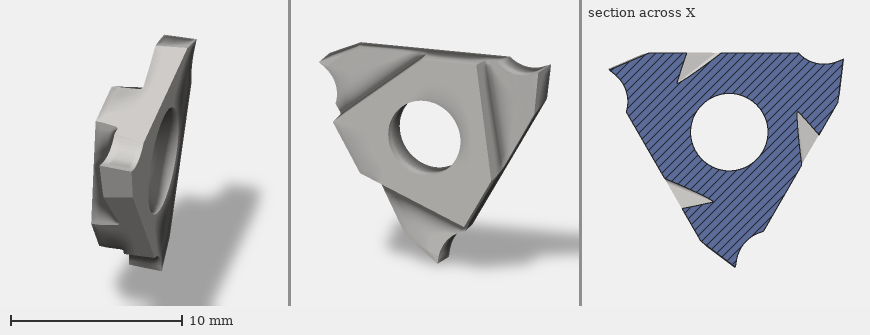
import cadquery as cq
import math

corner_count = 3
thickness = 3.19

side_distance = 4.72
straight_depth = 0.5
side_relief_angle = 4.5

hole_radius = 2.25
hole_straight_depth = 1.82
shoulder_radius = 0.66
seat_angle = math.radians(40)

tip_u = 6.72
tip_v = 4.29
end_face_angle = -6.9
end_face_overhang = 2.0
gullet_radius = 2.03
land_angle = math.radians(21)
land_length = 0.5

rake_direction = 7.9
rake_tilt = 3.1
step_top_distance = 3.83
wall_angle = math.radians(4)
step_fillet = 0.19
floor_start_distance = 4.12
floor_start_depth = 1.63
curve_start_distance = 4.65
curve_start_depth = 1.59
tip_land_distance = 6.72
tip_land_depth = 1.39

cutter_reach = 11.03
cutter_clearance = 2.76


def unit(angle):
    """Unit vector across the plate at an angle in degrees from u toward v."""
    return cq.Vector(0, -math.cos(math.radians(angle)), math.sin(math.radians(angle)))


def plate(depth):
    """Workplane with axes (u, v) at the given depth; a negative extrusion runs to the back."""
    return cq.Workplane(cq.Plane((depth, 0, 0), (0, -1, 0), (-1, 0, 0)))


def make_body():
    circumradius = side_distance / math.cos(math.pi / corner_count)
    corners = [
        (circumradius * math.cos(a), circumradius * math.sin(a))
        for a in (math.radians(30 + 360 / corner_count * i) for i in range(corner_count))
    ]
    straight = plate(0).polyline(corners).close().extrude(-straight_depth)
    relieved = plate(straight_depth).polyline(corners).close().extrude(
        straight_depth - thickness, taper=side_relief_angle
    )
    return straight.union(relieved)


def make_hole():
    shoulder_depth = hole_straight_depth + shoulder_radius * math.sin(seat_angle)
    shoulder_rim = hole_radius + shoulder_radius * (1 - math.cos(seat_angle))
    half_angle = seat_angle / 2
    shoulder_middle = (
        hole_straight_depth + shoulder_radius * math.sin(half_angle),
        hole_radius + shoulder_radius * (1 - math.cos(half_angle)),
    )
    seat_rim = shoulder_rim + (thickness - shoulder_depth) * math.tan(seat_angle)
    return (
        cq.Workplane("XY")
        .lineTo(0, hole_radius)
        .lineTo(hole_straight_depth, hole_radius)
        .threePointArc(shoulder_middle, (shoulder_depth, shoulder_rim))
        .lineTo(thickness, seat_rim)
        .lineTo(thickness, 0)
        .close()
        .revolve(360, (0, 0, 0), (1, 0, 0))
    )


def make_end_face_cutter():
    lean = math.radians(end_face_overhang)
    outward = unit(end_face_angle) * math.cos(lean) - cq.Vector(math.sin(lean), 0, 0)
    tip = (thickness, -tip_u, tip_v)
    face = cq.Plane(tip, unit(end_face_angle + 90), outward)
    return cq.Workplane(face).rect(cutter_reach, cutter_reach).extrude(cutter_reach)


def make_gullet_cutter():
    """Round gullet that runs tangent into the straight land at the tip."""
    along = (math.cos(land_angle), math.sin(land_angle))
    land_start = (tip_u - land_length * along[0], tip_v - land_length * along[1])
    center = (land_start[0] - gullet_radius * along[1], land_start[1] + gullet_radius * along[0])
    land_end = (tip_u + land_length * along[0], tip_v + land_length * along[1])
    above_end = (land_end[0] - gullet_radius * along[1], land_end[1] + gullet_radius * along[0])
    round_part = plate(0).center(*center).circle(gullet_radius).extrude(-thickness)
    straight_part = plate(0).polyline([land_start, land_end, above_end, center]).close().extrude(-thickness)
    return round_part.union(straight_part)


def make_rake_cutter():
    """Step wall, rounded foot, floor curving up to a flat land at the tip."""
    tilt = math.radians(rake_tilt)
    along_step = unit(rake_direction - 90) * math.cos(tilt) + cq.Vector(math.sin(tilt), 0, 0)
    section = cq.Plane((0, 0, 0), unit(rake_direction), along_step)
    inward = math.copysign(1, section.yDir.x)

    wall_end_depth = floor_start_depth - step_fillet
    wall_end_distance = step_top_distance + wall_end_depth * math.tan(wall_angle)
    clear_depth = -cutter_clearance
    wall_clear_distance = step_top_distance + clear_depth * math.tan(wall_angle)
    return (
        cq.Workplane(section)
        .moveTo(wall_clear_distance, inward * clear_depth)
        .lineTo(wall_end_distance, inward * wall_end_depth)
        .tangentArcPoint((floor_start_distance, inward * floor_start_depth), relative=False)
        .lineTo(curve_start_distance, inward * curve_start_depth)
        .tangentArcPoint((tip_land_distance, inward * tip_land_depth), relative=False)
        .lineTo(cutter_reach, inward * tip_land_depth)
        .lineTo(cutter_reach, inward * clear_depth)
        .close()
        .extrude(cutter_reach, both=True)
    )


result = make_body().cut(make_hole())
corner_cutters = [make_end_face_cutter(), make_gullet_cutter(), make_rake_cutter()]
for corner in range(corner_count):
    turn = corner * 360 / corner_count
    for cutter in corner_cutters:
        result = result.cut(cutter.rotate((0, 0, 0), (1, 0, 0), turn))